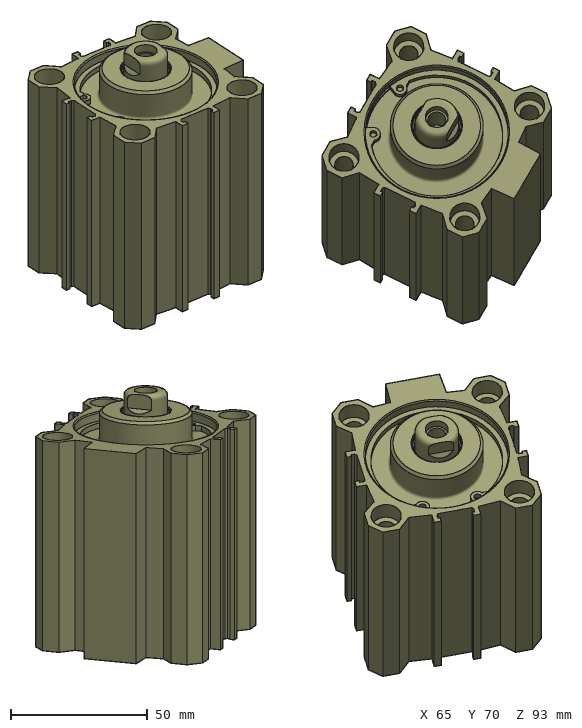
import cadquery as cq
import math

body_height = 79.5
body_width = 65.0
half_width = body_width / 2
port_block_top = 70.0 - half_width
port_block_half_base = 10.5
port_block_half_top = 10.1
side_wall = 28.5
side_wall_at_lobe = 27.7
lobe_outer_corner = 28.1
lobe_inner_corner = 21.8
lobe_root = 17.2

rail_outer = 8.7
rail_lip_edge = 6.0
rail_stem_inner = 6.9
rail_root_inner = 6.3
rail_reach = 32.3
rail_lip_thickness = 1.8
rail_root_slope = 0.7

mount_offset = 25.0
mount_hole_diameter = 6.8
mount_counterbore_diameter = 11.0
mount_counterbore_depth = 7.0

bore_diameter = 52.2
bore_chamfer = 0.5
head_diameter = 51.8
head_flange_top = 73.9
head_flange_thickness = 14.9
bore_floor = head_flange_top - head_flange_thickness
collar_diameter = 33.9
collar_top = 85.5
collar_chamfer = 1.0
collar_root_fillet = 1.0
rod_bore_diameter = 16.6
wiper_seat_diameter = 17.7
wiper_seat_depth = 1.9
wiper_recess_diameter = 18.0
wiper_recess_depth = 0.9
wiper_recess_mouth = 18.7

ring_diameter = 55.2
ring_inner_diameter = 48.2
ring_thickness = 2.0
ring_top = head_flange_top + ring_thickness
ring_lug_edge = -19.2
ear_x = 10.3
ear_y = -20.7
ear_diameter = 5.1
ear_hole_diameter = 2.5

rod_top = 93.0
rod_diameter = 16.0
rod_top_fillet = 1.9
flat_width = 13.0
flat_length = 5.5
rod_counterbore_diameter = 8.3
rod_counterbore_depth = 3.1
rod_hole_diameter = 6.6
rod_hole_depth = 14.9
drill_point_angle = 160.0


def disc(diameter, bottom, top):
    """Cylinder on the Z axis between two heights."""
    return cq.Workplane("XY").workplane(offset=bottom).circle(diameter / 2).extrude(top - bottom)


def mirror_x(points):
    """Reflect points across the YZ plane, reversed so that an outline runs on."""
    return [(-x, y) for x, y in reversed(points)]


def make_rail_pair():
    """Two facing hooked ribs standing on the -Y side wall."""
    lip_inner = rail_reach - rail_lip_thickness
    hook = [
        (rail_outer, -side_wall_at_lobe),
        (rail_outer, -rail_reach),
        (rail_lip_edge, -rail_reach),
        (rail_lip_edge, -lip_inner),
        (rail_stem_inner, -lip_inner),
        (rail_stem_inner, -side_wall - rail_root_slope),
        (rail_root_inner, -side_wall),
        (rail_root_inner, -side_wall_at_lobe),
    ]
    right_rail = cq.Workplane("XY").polyline(hook).close().extrude(body_height)
    left_rail = cq.Workplane("XY").polyline(mirror_x(hook)).close().extrude(body_height)
    return right_rail.union(left_rail)


def make_profile_block():
    """Lobed square prism, the same on all four sides."""
    half_side = [
        (rail_outer, side_wall),
        (lobe_root, side_wall_at_lobe),
        (lobe_inner_corner, half_width),
        (lobe_outer_corner, half_width),
    ]
    one_side = mirror_x(half_side) + half_side
    outline = []
    for quarter_turn in range(4):
        angle = -math.pi / 2 * quarter_turn
        outline += [
            (x * math.cos(angle) - y * math.sin(angle), x * math.sin(angle) + y * math.cos(angle))
            for x, y in one_side
        ]
    return cq.Workplane("XY").polyline(outline).close().extrude(body_height)


def make_port_block():
    """Slightly tapered block along the +Y side."""
    flank = [(port_block_half_base, side_wall_at_lobe), (port_block_half_top, port_block_top)]
    return cq.Workplane("XY").polyline(flank + mirror_x(flank)).close().extrude(body_height)


def make_body():
    body = make_profile_block().union(make_port_block())
    for rail_angle in (0, 90, -90):
        body = body.union(make_rail_pair().rotate((0, 0, 0), (0, 0, 1), rail_angle))
    body = body.cut(disc(bore_diameter, bore_floor, body_height))
    body = body.faces(">Z").edges(cq.selectors.RadiusNthSelector(0)).chamfer(bore_chamfer)
    body = body.cut(disc(ring_diameter, head_flange_top, ring_top))
    mount_spacing = 2 * mount_offset
    return (
        body.faces(">Z")
        .workplane(origin=(0, 0, body_height))
        .rarray(mount_spacing, mount_spacing, 2, 2)
        .cboreHole(mount_hole_diameter, mount_counterbore_diameter, mount_counterbore_depth)
    )


def make_head():
    """Flanged rod guide with a raised collar."""
    head = disc(head_diameter, bore_floor, head_flange_top)
    head = head.union(disc(collar_diameter, head_flange_top, collar_top))
    head = head.faces(">Z").edges().chamfer(collar_chamfer)
    collar_root = cq.selectors.RadiusNthSelector(0)
    head = head.faces(cq.selectors.NearestToPointSelector((0, head_diameter / 2 - 0.9, head_flange_top)))
    head = head.edges(collar_root).fillet(collar_root_fillet)
    head = head.cut(disc(rod_bore_diameter, bore_floor, collar_top))
    head = head.cut(disc(wiper_seat_diameter, collar_top - wiper_seat_depth, collar_top))
    head = head.cut(disc(wiper_recess_diameter, collar_top - wiper_recess_depth, collar_top))
    mouth_chamfer = (wiper_recess_mouth - wiper_recess_diameter) / 2
    return head.faces(">Z").edges(cq.selectors.RadiusNthSelector(0)).chamfer(mouth_chamfer)


def make_snap_ring():
    """Internal retaining ring with plier ears at its open end."""
    ring = disc(ring_diameter, head_flange_top, ring_top)

    opening_limit = (
        cq.Workplane("XY")
        .box(2 * ring_diameter, ring_diameter, body_height, centered=(True, False, False))
        .translate((0, ring_lug_edge, 0))
    )
    ring = ring.cut(disc(ring_inner_diameter, head_flange_top, ring_top).intersect(opening_limit))

    ear_distance = math.hypot(ear_x, ear_y)
    radial_x = ear_x / ear_distance
    radial_y = ear_y / ear_distance
    ear_radius = ear_diameter / 2
    tangent_x = ear_x + ear_radius * radial_y
    tangent_y = ear_y - ear_radius * radial_x
    side_length = ring_diameter / 2 - ear_distance + ear_radius
    gap_side = [
        (ear_x, ring_lug_edge),
        (ear_x, ear_y),
        (tangent_x, tangent_y),
        (tangent_x + side_length * radial_x, tangent_y + side_length * radial_y),
    ]
    ring_plane = cq.Workplane("XY").workplane(offset=head_flange_top)
    gap = ring_plane.polyline(gap_side + mirror_x(gap_side)).close().extrude(ring_thickness)
    ear_points = [(-ear_x, ear_y), (ear_x, ear_y)]
    ears = ring_plane.pushPoints(ear_points).circle(ear_radius).extrude(ring_thickness)
    ear_holes = ring_plane.pushPoints(ear_points).circle(ear_hole_diameter / 2).extrude(ring_thickness)
    return ring.cut(gap).union(ears).cut(ear_holes)


def make_flat_cutter():
    """Wrench flat on the +Y side, ending in a 45-degree run-out."""
    flat = flat_width / 2
    flat_bottom = rod_top - flat_length
    section = [
        (flat, rod_top),
        (flat, flat_bottom),
        (rod_diameter, flat_bottom - (rod_diameter - flat)),
        (rod_diameter, rod_top),
    ]
    return cq.Workplane("YZ").polyline(section).close().extrude(rod_diameter / 2, both=True)


def make_rod():
    rod = disc(rod_diameter, bore_floor, rod_top)
    rod = rod.faces(">Z").edges().fillet(rod_top_fillet)
    flat_cutter = make_flat_cutter()
    rod = rod.cut(flat_cutter).cut(flat_cutter.rotate((0, 0, 0), (0, 0, 1), 180))

    counterbore_radius = rod_counterbore_diameter / 2
    hole_radius = rod_hole_diameter / 2
    step_height = rod_top - rod_counterbore_depth
    hole_bottom = rod_top - rod_hole_depth
    point_depth = hole_radius / math.tan(math.radians(drill_point_angle / 2))
    half_section = [
        (0, rod_top),
        (counterbore_radius, rod_top),
        (counterbore_radius, step_height),
        (hole_radius, step_height),
        (hole_radius, hole_bottom),
        (0, hole_bottom - point_depth),
    ]
    hole = cq.Workplane("XZ").polyline(half_section).close().revolve(360, (0, 0, 0), (0, 1, 0))
    return rod.cut(hole)


body = make_body()
head = make_head()
snap_ring = make_snap_ring()
rod = make_rod()

result = cq.Compound.makeCompound([body.val(), head.val(), snap_ring.val(), rod.val()])